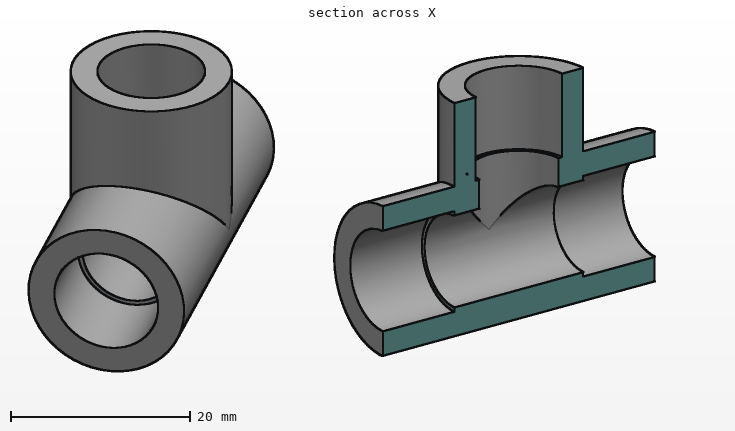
import cadquery as cq

run_length = 38.0
outer_diameter = 18.0
socket_diameter = 12.0
bore_diameter = 11.0
socket_depth = 10.0

port_reach = run_length / 2


def port_cylinder(direction, diameter, start, length):
    """Cylinder on a port axis, beginning at a distance from the crossing."""
    axis = cq.Vector(*direction)
    return cq.Workplane(cq.Solid.makeCylinder(diameter / 2, length, axis * start, axis))


run_front = (0, -1, 0)
run_back = (0, 1, 0)
branch_up = (0, 0, 1)

body = port_cylinder(run_back, outer_diameter, -port_reach, run_length)
body = body.union(port_cylinder(branch_up, outer_diameter, 0, port_reach))

body = body.cut(port_cylinder(run_back, bore_diameter, -port_reach, run_length))
body = body.cut(port_cylinder(branch_up, bore_diameter, 0, port_reach))

for direction in (run_front, run_back, branch_up):
    socket_start = port_reach - socket_depth
    body = body.cut(port_cylinder(direction, socket_diameter, socket_start, socket_depth))

result = body